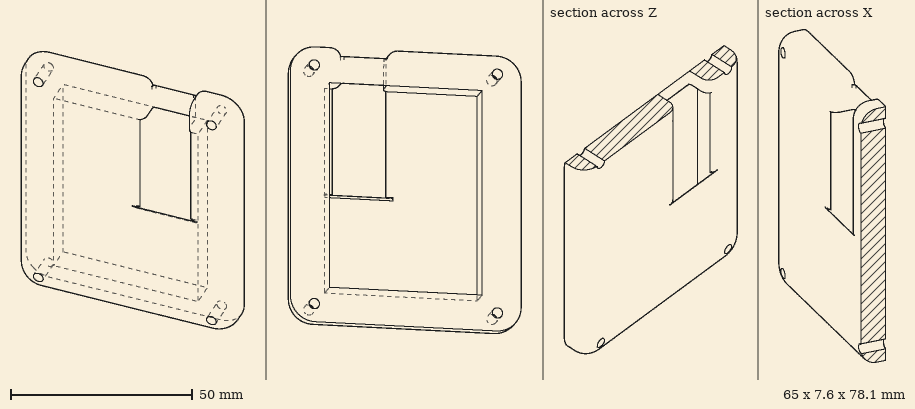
import cadquery as cq

width = 65.0
depth = 7.6
height = 78.1
corner_radius = 7.0
front_edge_radius = 5.0

hole_diameter = 2.9
hole_inset_x = 6.7
hole_inset_z = 5.15

skin_thickness = 0.8
cavity_inset_x = 11.0
cavity_inset_z = 10.0
cavity_width = width - 2 * cavity_inset_x
cavity_height = height - 2 * cavity_inset_z

notch_center_x = 11.8
notch_width = 12.8
notch_floor_z = -0.9
notch_edge_radius = 3.2
sill_drop = 0.9

web_thickness = 0.1
web_drop = 2.35
web_bevel_height = 0.8
web_bevel_depth = 0.06
web_fillet_radius = 0.8
web_front_y = depth - web_thickness
web_bottom_z = cavity_height / 2
web_top_z = height / 2 - web_drop
wall_overlap = 0.4


def box_between(x_min, x_max, y_min, y_max, z_min, z_max):
    return cq.Workplane("XY").box(
        x_max - x_min, y_max - y_min, z_max - z_min, centered=False
    ).translate((x_min, y_min, z_min))


def rounded_plate():
    plate = cq.Workplane("XY").box(width, depth, height, centered=(True, False, True))
    plate = plate.edges("|Y").fillet(corner_radius)
    return plate.faces("<Y").edges().fillet(front_edge_radius)


def cut_notch(body):
    """Cut the notch and round the edges where its side walls meet the outside."""
    left = notch_center_x - notch_width / 2
    right = notch_center_x + notch_width / 2
    body = body.cut(box_between(left, right, 0, depth, notch_floor_z, height / 2))
    for wall_x in (left, right):
        front_edge = cq.NearestToPointSelector((wall_x, 0, height / 4))
        body = body.edges(front_edge).fillet(notch_edge_radius)
    return body


def web():
    """Thin plate joined to both notch walls by concave fillets."""
    half_width = notch_width / 2
    fillet_start_y = web_front_y - web_fillet_radius
    arc_offset = web_fillet_radius * (1 - 0.5 ** 0.5)
    outer = half_width + wall_overlap
    inner = half_width - web_fillet_radius
    profile = (
        cq.Workplane("XY", origin=(notch_center_x, 0, web_bottom_z))
        .moveTo(-outer, depth)
        .lineTo(-outer, fillet_start_y)
        .lineTo(-half_width, fillet_start_y)
        .threePointArc((-half_width + arc_offset, web_front_y - arc_offset), (-inner, web_front_y))
        .lineTo(inner, web_front_y)
        .threePointArc((half_width - arc_offset, web_front_y - arc_offset), (half_width, fillet_start_y))
        .lineTo(outer, fillet_start_y)
        .lineTo(outer, depth)
        .close()
    )
    plate = profile.extrude(web_top_z - web_bottom_z)
    bevel = (
        cq.Workplane("YZ", origin=(notch_center_x, 0, 0))
        .moveTo(web_front_y, web_top_z - web_bevel_height)
        .lineTo(web_front_y + web_bevel_depth, web_top_z)
        .lineTo(web_front_y, web_top_z)
        .close()
        .extrude(inner, both=True)
    )
    return plate.cut(bevel)


def cavity():
    return box_between(
        -cavity_width / 2, cavity_width / 2,
        skin_thickness, depth,
        -cavity_height / 2, cavity_height / 2,
    )


def sill_bevel():
    """Slope the notch floor down towards the cavity, leaving a sharp front edge."""
    return (
        cq.Workplane("YZ", origin=(notch_center_x, 0, 0))
        .moveTo(0, notch_floor_z)
        .lineTo(skin_thickness, notch_floor_z)
        .lineTo(skin_thickness, notch_floor_z - sill_drop)
        .close()
        .extrude(notch_width / 2 + notch_edge_radius, both=True)
    )


def corner_holes():
    return (
        cq.Workplane("XZ")
        .rect(width - 2 * hole_inset_x, height - 2 * hole_inset_z, forConstruction=True)
        .vertices()
        .circle(hole_diameter / 2)
        .extrude(-depth)
    )


body = cut_notch(rounded_plate()).union(web())
result = body.cut(cavity()).cut(sill_bevel()).cut(corner_holes())